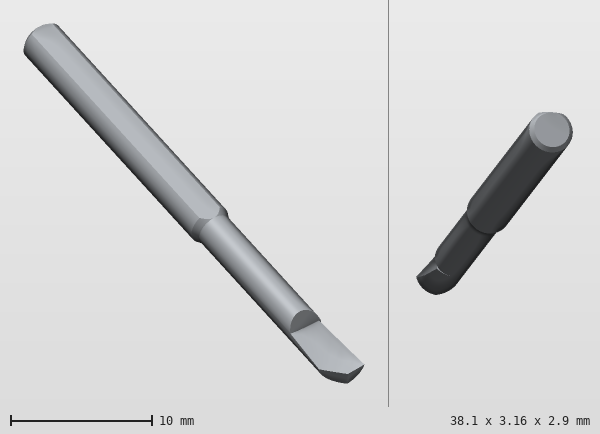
import cadquery as cq
import math

total_length = 38.1
shank_radius = 1.58
flat_height = 1.315
end_chamfer = 0.3
shank_end = 21.15
neck_start = 21.7
neck_radius = flat_height

head_start = 33.07
flank_start_y = 1.162
tip_y = shank_radius
nose_corner_y = 0.15
bevel_run = nose_corner_y + neck_radius
end_relief_angle = 6.0

step_top_x = 32.35
step_bottom_z = 0.25
hollow_radius = 22.85
hollow_skew = 23.0
hollow_fall = 4.0
hollow_anchor = (33.75, 1.4, 0.217)
clearance = 7.62


def make_bar():
    """Turned shank and neck, with the clamping flat along the top."""
    profile = [
        (0, 0),
        (0, shank_radius - end_chamfer),
        (end_chamfer, shank_radius),
        (shank_end, shank_radius),
        (neck_start, neck_radius),
        (total_length, neck_radius),
        (total_length, 0),
    ]
    bar = cq.Workplane("XY").polyline(profile).close().revolve(360, (0, 0, 0), (1, 0, 0))
    above_flat = (
        cq.Workplane("XY")
        .box(neck_start, clearance, clearance, centered=(False, True, False))
        .translate((0, 0, flat_height))
    )
    return bar.cut(above_flat)


def make_head_stock():
    """Neck section plus a fuller +Y side that runs from the tip down to the neck bottom."""
    relief_center_z = (tip_y**2 - neck_radius**2) / (2 * neck_radius)
    relief_radius = neck_radius + relief_center_z
    length = total_length - head_start
    plane = cq.Workplane("YZ", origin=(head_start, 0, 0))
    tip_side = plane.center(0, relief_center_z).circle(relief_radius).extrude(length)
    half = (
        cq.Workplane("XY")
        .box(length, clearance, clearance, centered=(False, False, True))
        .translate((head_start, 0, 0))
    )
    return tip_side.intersect(half).union(plane.circle(neck_radius).extrude(length))


def make_head_envelope():
    """Plan outline of the head, with both end faces leaning back below the cutting edge."""
    flank = [
        (head_start, -clearance),
        (total_length, -clearance),
        (total_length, tip_y),
        (head_start, flank_start_y),
    ]
    envelope = cq.Workplane("XY").polyline(flank).close().extrude(clearance, both=True)
    end_point = (total_length, nose_corner_y, 0)
    for face_turn in (0, -45):
        outside = (
            cq.Workplane("XY")
            .box(clearance, 2 * clearance, 2 * clearance, centered=(False, True, True))
            .rotate((0, 0, 0), (0, 1, 0), end_relief_angle)
            .rotate((0, 0, 0), (0, 0, 1), face_turn)
            .translate(end_point)
        )
        envelope = envelope.cut(outside)
    return envelope


def make_chip_space():
    """Body removed above the chip surface, ahead of the sloping step."""
    skew = math.radians(hollow_skew)
    fall = math.radians(hollow_fall)
    along = cq.Vector(math.cos(fall) * math.cos(skew), -math.cos(fall) * math.sin(skew), -math.sin(fall))
    upward = cq.Vector(math.sin(fall) * math.cos(skew), -math.sin(fall) * math.sin(skew), math.cos(fall))
    axis_start = cq.Vector(*hollow_anchor) + upward * hollow_radius - along * clearance
    hollow = cq.Workplane(obj=cq.Solid.makeCylinder(hollow_radius, 2 * clearance, axis_start, along))

    step_run_per_height = (head_start - step_top_x) / (flat_height - step_bottom_z)
    bottom_z = -neck_radius
    top_z = 2 * neck_radius
    ahead_of_step = [
        (head_start + (step_bottom_z - bottom_z) * step_run_per_height, bottom_z),
        (total_length + clearance, bottom_z),
        (total_length + clearance, top_z),
        (head_start + (step_bottom_z - top_z) * step_run_per_height, top_z),
    ]
    wedge = cq.Workplane("XZ").polyline(ahead_of_step).close().extrude(clearance, both=True)
    return wedge.intersect(hollow)


head_zone = (
    cq.Workplane("XY")
    .box(clearance, clearance, clearance, centered=(False, True, True))
    .translate((head_start, 0, 0))
)
head = make_head_stock().intersect(make_head_envelope())
result = make_bar().cut(head_zone).union(head).cut(make_chip_space())